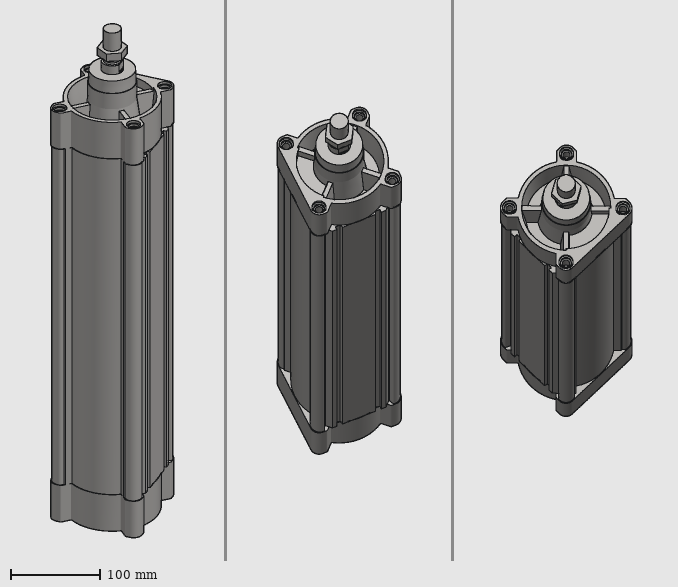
import cadquery as cq
import math

total_height = 631.5
spigot_height = 4.5
spigot_chamfer = 1.0
cap_height = 48.0
cap_top = 542.0
tube_bottom = spigot_height + cap_height
tube_top = cap_top - cap_height
collar_step = 562.5
collar_top = 578.5
rod_shoulder = 590.0
rod_bottom = tube_top

half_width = 55.0
bolt_offset = 45.0
cap_corner = half_width - bolt_offset
tube_inset = 0.5
tube_corner = 11.0
tube_half_width = half_width - tube_inset
cap_barrel_radius = half_width
tube_barrel_radius = tube_half_width

lobe_edge = 39.0
lobe_edge_fillet = 2.5
notch_slope_offset = half_width - lobe_edge
notch_end_x = (math.sqrt(2 * cap_barrel_radius**2 - notch_slope_offset**2) - notch_slope_offset) / 2
notch_end_y = notch_end_x + notch_slope_offset
notch_foot_fillet = 0.5

side_slot_mouth = 20.0
side_slot_inner = 21.5
side_slot_outer = 27.0
side_slot_depth = 4.0
side_groove_inner = 33.0
side_groove_outer = 42.0
side_groove_depth = 5.5
side_groove_foot = side_groove_inner + side_groove_depth
side_groove_foot_width = 1.0
front_ledge_outer = 37.0
front_ledge_inner = 35.5
front_ledge_drop = 3.0
front_lobe_edge = front_ledge_outer + front_ledge_drop
front_foot_x = 31.5
front_foot_y = tube_half_width - front_ledge_drop - (front_ledge_inner - front_foot_x)
front_end_x = 29.5
front_end_y = math.sqrt(tube_barrel_radius**2 - front_end_x**2)
side_edge_fillet = 2.0
front_edge_fillet = 5.0

cutter_overrun = 6.0

recess_diameter = 100.0
recess_depth = 35.0
recess_taper = 8.0
shallow_diameter = 96.0
collar_diameter = 55.0
collar_step_diameter = 53.5
collar_top_diameter = 52.5
collar_foot_diameter = 64.5
rib_top_width = 5.5
rib_foot_width = 12.5
rib_drop = 2.5
shallow_depth = 11.5

counterbore_diameter = 16.0
counterbore_depth = 3.0
seat_diameter = 12.0
seat_depth = 3.0
bolt_hole_diameter = 8.0
bolt_hole_depth = 19.0

rod_diameter = 25.0
rod_flat_width = 22.0
rod_flat_bottom = 580.5
thread_diameter = 20.0
neck_diameter = 18.0
neck_bottom = 592.0
neck_top = 594.0
thread_bottom = 595.5
nut_width = 29.5
nut_bottom = 597.5
nut_top = 607.5

bolt_points = [(x, y) for x in (-bolt_offset, bolt_offset) for y in (-bolt_offset, bolt_offset)]


def rounded_square(half, corner, bottom, height):
    """Square prism with rounded vertical edges."""
    square = cq.Workplane("XY").workplane(offset=bottom).rect(2 * half, 2 * half).extrude(height)
    return square.edges("|Z").fillet(corner)


def round_bar(diameter, bottom, top):
    """Cylinder on the main axis between two heights."""
    return cq.Workplane("XY").workplane(offset=bottom).circle(diameter / 2).extrude(top - bottom)


def cone_bar(bottom_diameter, top_diameter, bottom, top):
    """Cone on the main axis between two heights."""
    cone = cq.Workplane("XY").workplane(offset=bottom).circle(bottom_diameter / 2)
    return cone.workplane(offset=top - bottom).circle(top_diameter / 2).loft()


def turned(body, angle):
    """The body turned about the main axis."""
    return body.rotate((0, 0, 0), (0, 0, 1), angle)


def fillet_edge(body, point, radius):
    """Round the one edge nearest to the point."""
    return body.edges(cq.selectors.NearestToPointSelector(point)).fillet(radius)


def mirrored_cutter(points, bottom, height):
    """Prism through the points and its mirror image in X, lying on the -Y side."""
    cutter = cq.Workplane("XY").workplane(offset=bottom).polyline(points).close().extrude(height)
    return cutter.union(cutter.mirror("YZ"))


def notched_side_points(along, out):
    """The points at +-along on the -Y, -X and +X sides, at the distance out from the axis."""
    front = [(along * side, -out) for side in (-1, 1)]
    sides = [(out * side, along * end) for side in (-1, 1) for end in (-1, 1)]
    return front + sides


def end_cap(bottom):
    """Cap with a flat +Y side; the other three sides show corner lobes and a round middle."""
    cap = rounded_square(half_width, cap_corner, bottom, cap_height)
    notch_points = [
        (0, -half_width - cutter_overrun),
        (lobe_edge, -half_width - cutter_overrun),
        (lobe_edge, -half_width),
        (notch_end_x, -notch_end_y),
        (0, -notch_end_y),
    ]
    notch = mirrored_cutter(notch_points, bottom, cap_height)
    for angle in (-90, 0, 90):
        cap = cap.cut(turned(notch, angle))
    middle = bottom + cap_height / 2
    for x, y in notched_side_points(lobe_edge, half_width):
        cap = fillet_edge(cap, (x, y, middle), lobe_edge_fillet)
    cap = cap.union(round_bar(2 * cap_barrel_radius, bottom, bottom + cap_height))
    for x, y in notched_side_points(notch_end_x, notch_end_y):
        cap = fillet_edge(cap, (x, y, middle), notch_foot_fillet)
    return cap


def tube():
    """Profile tube: flat slotted sides at +-X, round middle at +-Y."""
    length = tube_top - tube_bottom
    outside = tube_half_width + cutter_overrun
    middle = (tube_bottom + tube_top) / 2
    body = rounded_square(tube_half_width, tube_corner, tube_bottom, length)

    front_points = [
        (0, -outside),
        (front_lobe_edge, -outside),
        (front_lobe_edge, -tube_half_width),
        (front_ledge_outer, -tube_half_width + front_ledge_drop),
        (front_ledge_inner, -tube_half_width + front_ledge_drop),
        (front_foot_x, -front_foot_y),
        (front_end_x, -front_end_y),
        (0, -front_end_y),
    ]
    front_notch = mirrored_cutter(front_points, tube_bottom, length)
    body = body.cut(front_notch).cut(front_notch.mirror("XZ"))
    body = body.union(round_bar(2 * tube_barrel_radius, tube_bottom, tube_top))

    slot_points = [
        (side_slot_mouth, -outside),
        (side_slot_outer, -outside),
        (side_slot_outer, -tube_half_width + side_slot_depth),
        (side_slot_inner, -tube_half_width + side_slot_depth),
        (side_slot_mouth, -tube_half_width),
    ]
    groove_points = [
        (side_groove_inner, -outside),
        (side_groove_outer, -outside),
        (side_groove_outer, -tube_half_width),
        (side_groove_foot + side_groove_foot_width, -tube_half_width + side_groove_depth),
        (side_groove_foot, -tube_half_width + side_groove_depth),
        (side_groove_inner, -tube_half_width),
    ]
    for points in (slot_points, groove_points):
        cutter = mirrored_cutter(points, tube_bottom, length)
        for angle in (-90, 90):
            body = body.cut(turned(cutter, angle))

    for x_sign in (-1, 1):
        for y_sign in (-1, 1):
            for x, y, radius in (
                (tube_half_width, side_groove_outer, side_edge_fillet),
                (front_lobe_edge, tube_half_width, front_edge_fillet),
            ):
                body = fillet_edge(body, (x * x_sign, y * y_sign, middle), radius)
    return body


def recess():
    """Tapered ring-shaped recess with four diagonal ribs and a raised floor on its +Y quarter."""
    floor = cap_top - recess_depth
    ring = cq.Workplane("XY").workplane(offset=cap_top).circle(recess_diameter / 2)
    ring = ring.extrude(-recess_depth, taper=recess_taper)
    core = cone_bar(collar_foot_diameter, collar_diameter, floor, cap_top)
    ring = ring.cut(core)
    rib_points = [
        (-rib_foot_width / 2, floor),
        (rib_foot_width / 2, floor),
        (rib_top_width / 2, cap_top - rib_drop),
        (-rib_top_width / 2, cap_top - rib_drop),
    ]
    for angle in (45, 135):
        rib = cq.Workplane("XZ").polyline(rib_points).close().extrude(half_width, both=True)
        ring = ring.cut(turned(rib, angle))
    quarter = cq.Workplane("XY").workplane(offset=floor)
    quarter = quarter.polyline([(0, 0), (half_width, half_width), (-half_width, half_width)]).close()
    quarter = quarter.extrude(recess_depth)
    quarter = quarter.cut(round_bar(shallow_diameter, cap_top - shallow_depth, cap_top))
    ring = ring.cut(quarter)
    return ring


def bolt_holes():
    """Stepped holes going down from the top face into the four corners."""
    holes = cq.Workplane("XY")
    depth = 0
    for diameter, step in (
        (counterbore_diameter, counterbore_depth),
        (seat_diameter, seat_depth),
        (bolt_hole_diameter, bolt_hole_depth),
    ):
        depth += step
        top = cq.Workplane("XY").workplane(offset=cap_top).pushPoints(bolt_points)
        holes = holes.union(top.circle(diameter / 2).extrude(-depth))
    return holes


def make_housing():
    """End caps, tube, bottom spigot and rod collar in one piece."""
    spigot = round_bar(collar_diameter, 0, spigot_height).faces("<Z").chamfer(spigot_chamfer)
    collar = round_bar(collar_diameter, cap_top, collar_step)
    collar_tip = cone_bar(collar_step_diameter, collar_top_diameter, collar_step, collar_top)
    body = end_cap(spigot_height).union(tube()).union(end_cap(tube_top))
    body = body.cut(recess()).cut(bolt_holes())
    body = body.union(spigot).union(collar).union(collar_tip)
    return body.cut(round_bar(rod_diameter, rod_bottom, collar_top))


def make_rod():
    """Piston rod with wrench flats, an undercut neck and a threaded end."""
    shank = round_bar(rod_diameter, rod_bottom, rod_shoulder)
    flat_height = rod_shoulder - rod_flat_bottom
    for side in (-1, 1):
        flat = cq.Workplane("XY").box(rod_diameter, rod_diameter, flat_height, centered=(True, True, False))
        flat_x = side * (rod_flat_width + rod_diameter) / 2
        shank = shank.cut(flat.translate((flat_x, 0, rod_flat_bottom)))
    stud_outline = [
        (0, rod_shoulder),
        (thread_diameter / 2, rod_shoulder),
        (neck_diameter / 2, neck_bottom),
        (neck_diameter / 2, neck_top),
        (thread_diameter / 2, thread_bottom),
        (thread_diameter / 2, total_height),
        (0, total_height),
    ]
    stud = cq.Workplane("XZ").polyline(stud_outline).close().revolve(360, (0, 0), (0, 1))
    return shank.union(stud)


def make_nut():
    """Hexagonal nut with two flats square to X."""
    corner_diameter = nut_width / math.cos(math.radians(30))
    hexagon = cq.Workplane("XY").workplane(offset=nut_bottom).polygon(6, corner_diameter)
    nut = turned(hexagon.extrude(nut_top - nut_bottom), 30)
    return nut.cut(round_bar(thread_diameter, nut_bottom, nut_top))


housing = make_housing()
rod = make_rod()
nut = make_nut()
result = cq.Compound.makeCompound([housing.val(), rod.val(), nut.val()])